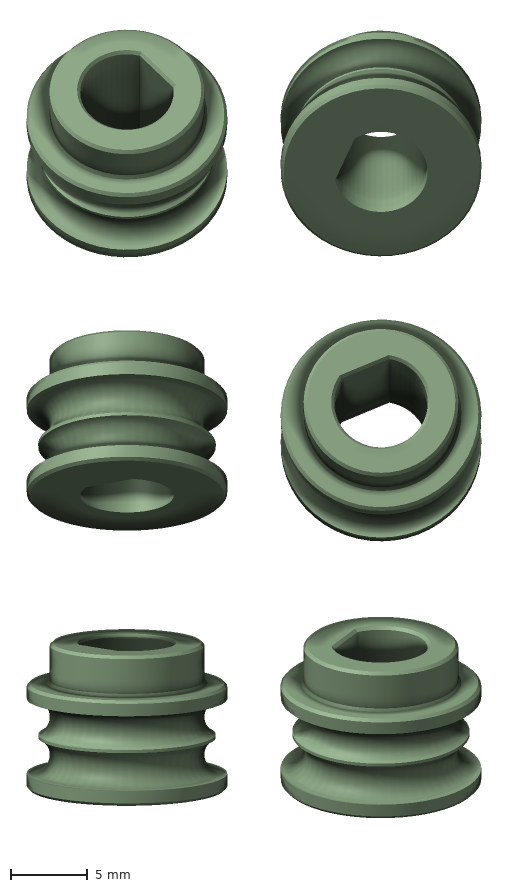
import cadquery as cq
import math

outer_diameter = 13.1
hub_diameter = 10.1
ridge_diameter = 11.6
bore_diameter = 6.1
flat_distance = 2.54
total_height = 9.7
flange_thickness = 1.0
groove_pitch = 2.5
chamfer = 0.2

groove_radius = groove_pitch / 2
outer_radius = outer_diameter / 2
hub_radius = hub_diameter / 2
ridge_radius = ridge_diameter / 2
groove_center_radius = hub_radius + groove_radius
lower_groove_z = flange_thickness + groove_radius
upper_groove_z = lower_groove_z + groove_pitch
upper_flange_top = upper_groove_z + groove_radius + flange_thickness
lip_offset = math.sqrt(groove_radius**2 - (outer_radius - groove_center_radius) ** 2)
ridge_offset = math.sqrt(groove_radius**2 - (groove_center_radius - ridge_radius) ** 2)


def make_body():
    """Revolve the half section of two flanges, two round grooves and a hub."""
    profile = (
        cq.Workplane("XZ")
        .lineTo(outer_radius - chamfer, 0)
        .lineTo(outer_radius, chamfer)
        .lineTo(outer_radius, lower_groove_z - lip_offset)
        .threePointArc((hub_radius, lower_groove_z), (ridge_radius, lower_groove_z + ridge_offset))
        .lineTo(ridge_radius, upper_groove_z - ridge_offset)
        .threePointArc((hub_radius, upper_groove_z), (outer_radius, upper_groove_z + lip_offset))
        .lineTo(outer_radius, upper_flange_top - chamfer)
        .lineTo(outer_radius - chamfer, upper_flange_top)
        .lineTo(hub_radius + chamfer, upper_flange_top)
        .lineTo(hub_radius, upper_flange_top + chamfer)
        .lineTo(hub_radius, total_height - chamfer)
        .lineTo(hub_radius - chamfer, total_height)
        .lineTo(0, total_height)
        .close()
    )
    return profile.revolve(360, (0, 0, 0), (0, 1, 0))


def make_bore():
    """Round through bore, trimmed to a D by a flat on the +Y side."""
    beyond_flat = (
        cq.Workplane("XY")
        .box(outer_diameter, outer_diameter, total_height, centered=(True, False, False))
        .translate((0, flat_distance, 0))
    )
    return cq.Workplane("XY").circle(bore_diameter / 2).extrude(total_height).cut(beyond_flat)


def cut_bore(body):
    """Cut the bore and chamfer its whole upper rim, flat included."""
    bored = body.cut(make_bore())
    rim_reach = bore_diameter / 2 + chamfer
    rim_box = cq.selectors.BoxSelector(
        (-rim_reach, -rim_reach, total_height - chamfer),
        (rim_reach, rim_reach, total_height + chamfer),
        boundingbox=True,
    )
    return bored.edges(rim_box).chamfer(chamfer)


result = cut_bore(make_body())